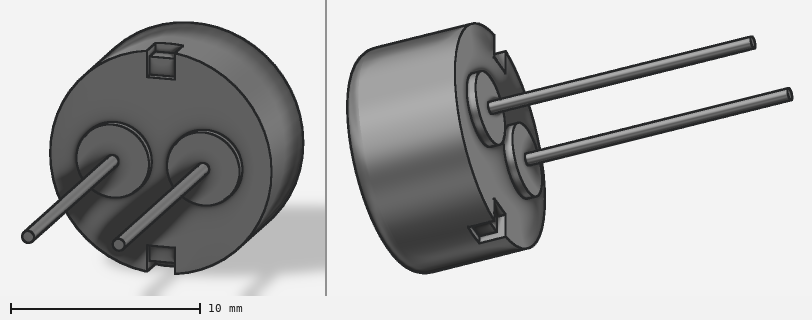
import cadquery as cq

body_diameter = 12.2
body_length = 6.5
rim_radius = 1.0

pad_diameter = 4.0
pad_thickness = 0.5
pin_diameter = 0.65
pin_spacing = 5.0
overall_length = 22.0

notch_width = 1.55
notch_shallow_depth = 0.5
notch_full_depth = 1.5
notch_length = 1.5
notch_step_length = 0.5

body_radius = body_diameter / 2
pin_length = overall_length - body_length


def make_body():
    """Cylinder from y = 0 to +Y with a rounded far rim."""
    cylinder = cq.Workplane("XZ").circle(body_radius).extrude(-body_length)
    return cylinder.faces(">Y").edges().fillet(rim_radius)


def make_terminals(diameter, length):
    """Pair of cylinders standing on the pin-side face toward -Y."""
    centers = [(-pin_spacing / 2, 0), (pin_spacing / 2, 0)]
    return cq.Workplane("XZ").pushPoints(centers).circle(diameter / 2).extrude(length)


def make_notch():
    """Cutter for the top notch: deep at the pin-side face, shallower behind."""
    floor = body_radius - notch_full_depth
    step = body_radius - notch_shallow_depth
    profile = [
        (0, floor),
        (notch_step_length, floor),
        (notch_step_length, step),
        (notch_length, step),
        (notch_length, body_radius),
        (0, body_radius),
    ]
    return cq.Workplane("YZ").polyline(profile).close().extrude(notch_width / 2, both=True)


top_notch = make_notch()
result = make_body().cut(top_notch).cut(top_notch.mirror("XY"))
result = result.union(make_terminals(pad_diameter, pad_thickness))
result = result.union(make_terminals(pin_diameter, pin_length))